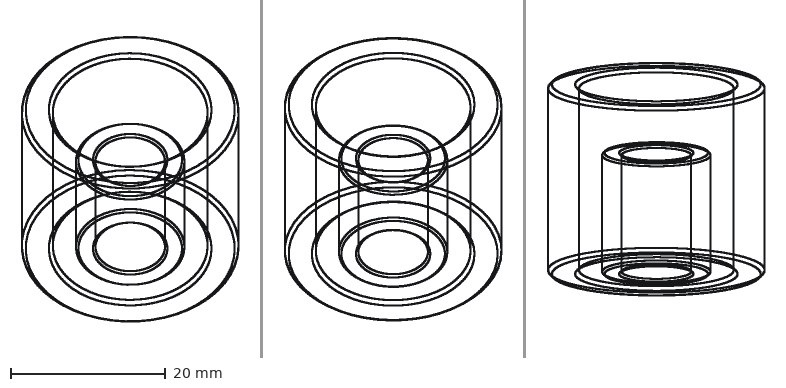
import cadquery as cq

SLEEVE_DIAMETER = 28.0
SLEEVE_BORE = 20.0
SLEEVE_HEIGHT = 25.0
SLEEVE_CHAMFER = 0.5

BUSHING_DIAMETER = 14.0
BUSHING_BORE = 9.0
BUSHING_HEIGHT = 16.0
BUSHING_CHAMFER = 0.3


def chamfered_tube(outer_diameter, bore_diameter, height, chamfer):
    """Vertical tube standing on Z = 0 with all four rim edges chamfered."""
    tube = (
        cq.Workplane("XY")
        .circle(outer_diameter / 2)
        .circle(bore_diameter / 2)
        .extrude(height)
    )
    return tube.faces("<Z or >Z").edges().chamfer(chamfer)


sleeve = chamfered_tube(SLEEVE_DIAMETER, SLEEVE_BORE, SLEEVE_HEIGHT, SLEEVE_CHAMFER)
bushing = chamfered_tube(BUSHING_DIAMETER, BUSHING_BORE, BUSHING_HEIGHT, BUSHING_CHAMFER)

result = cq.Compound.makeCompound([sleeve.val(), bushing.val()])